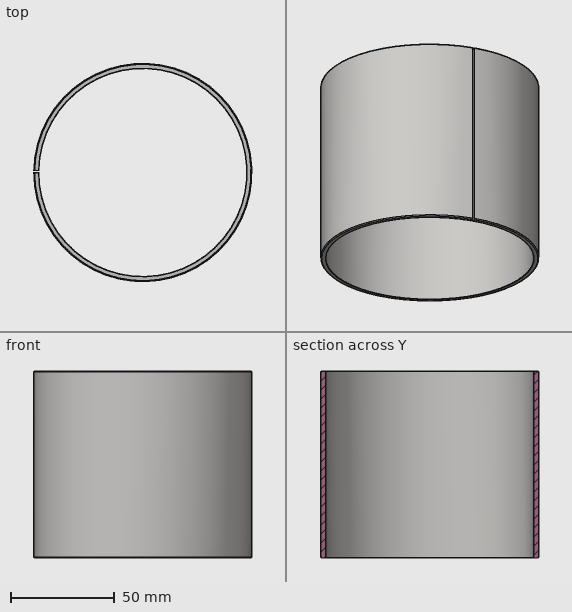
import cadquery as cq

outer_diameter = 105.0
wall = 2.5
length = 90.0
outer_chamfer = 0.5
bore_chamfer = 0.2
seam_angle = 1.0

outer_radius = outer_diameter / 2
bore_radius = outer_radius - wall
rolled_angle = 360 - seam_angle


def wall_section():
    """Closed wall profile on the -X side, chamfered at the four rim corners."""
    rim_radius = outer_radius - outer_chamfer
    mouth_radius = bore_radius + bore_chamfer
    section = [
        (-mouth_radius, 0),
        (-rim_radius, 0),
        (-outer_radius, outer_chamfer),
        (-outer_radius, length - outer_chamfer),
        (-rim_radius, length),
        (-mouth_radius, length),
        (-bore_radius, length - bore_chamfer),
        (-bore_radius, bore_chamfer),
    ]
    return cq.Workplane("XZ").polyline(section).close()


def roll_sleeve():
    """Sweep the section from -X through -Y and back round, leaving the seam just on +Y."""
    return wall_section().revolve(rolled_angle, (0, 0), (0, 1))


result = roll_sleeve()